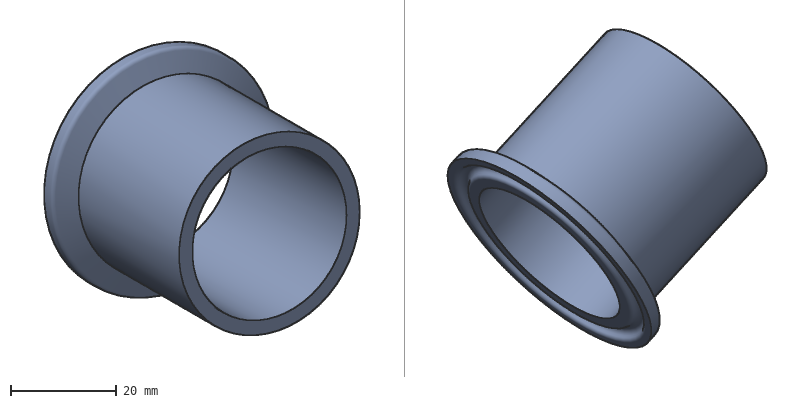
import cadquery as cq
import math

LENGTH = 40.0
FLANGE_RADIUS = 50.5 / 2
TUBE_RADIUS = 40.8 / 2
BORE_RADIUS = 34.8 / 2

RIM_WIDTH = 2.15
RIM_ROUND = 0.95
CONE_ANGLE = math.radians(20)

GROOVE_CENTER_RADIUS = 21.75
GROOVE_HALF_WIDTH = 2.0
GROOVE_DEPTH = 1.6
LIP_ROUND = 0.8
BOTTOM_ROUND = 1.2
WALL_ANGLE = math.radians(70)


def make_body():
    """Revolve the flange and tube, including the bore."""
    round_center_radius = FLANGE_RADIUS - RIM_ROUND
    round_mid_angle = (math.pi / 2 + CONE_ANGLE) / 2
    cone_start_x = RIM_WIDTH + RIM_ROUND * math.cos(CONE_ANGLE)
    cone_start_radius = round_center_radius + RIM_ROUND * math.sin(CONE_ANGLE)
    cone_end_x = cone_start_x + (cone_start_radius - TUBE_RADIUS) * math.tan(CONE_ANGLE)
    round_middle = (
        RIM_WIDTH + RIM_ROUND * math.cos(round_mid_angle),
        round_center_radius + RIM_ROUND * math.sin(round_mid_angle),
    )
    profile = (
        cq.Workplane("XY")
        .moveTo(0, BORE_RADIUS)
        .lineTo(0, FLANGE_RADIUS)
        .lineTo(RIM_WIDTH, FLANGE_RADIUS)
        .threePointArc(round_middle, (cone_start_x, cone_start_radius))
        .lineTo(cone_end_x, TUBE_RADIUS)
        .lineTo(LENGTH, TUBE_RADIUS)
        .lineTo(LENGTH, BORE_RADIUS)
        .close()
    )
    return profile.revolve(360, (0, 0, 0), (1, 0, 0))


def make_groove():
    """Revolve the cutter for the gasket groove in the flange face."""

    def lip_point(side, angle):
        offset = GROOVE_HALF_WIDTH - LIP_ROUND * math.sin(angle)
        depth = LIP_ROUND * (1 - math.cos(angle))
        return depth, GROOVE_CENTER_RADIUS + side * offset

    def bottom_point(side):
        offset = BOTTOM_ROUND * math.sin(WALL_ANGLE)
        depth = GROOVE_DEPTH - BOTTOM_ROUND * (1 - math.cos(WALL_ANGLE))
        return depth, GROOVE_CENTER_RADIUS + side * offset

    inner, outer = -1, 1
    profile = (
        cq.Workplane("XY")
        .moveTo(*lip_point(inner, 0))
        .threePointArc(lip_point(inner, WALL_ANGLE / 2), lip_point(inner, WALL_ANGLE))
        .lineTo(*bottom_point(inner))
        .threePointArc((GROOVE_DEPTH, GROOVE_CENTER_RADIUS), bottom_point(outer))
        .lineTo(*lip_point(outer, WALL_ANGLE))
        .threePointArc(lip_point(outer, WALL_ANGLE / 2), lip_point(outer, 0))
        .close()
    )
    return profile.revolve(360, (0, 0, 0), (1, 0, 0))


result = make_body().cut(make_groove())